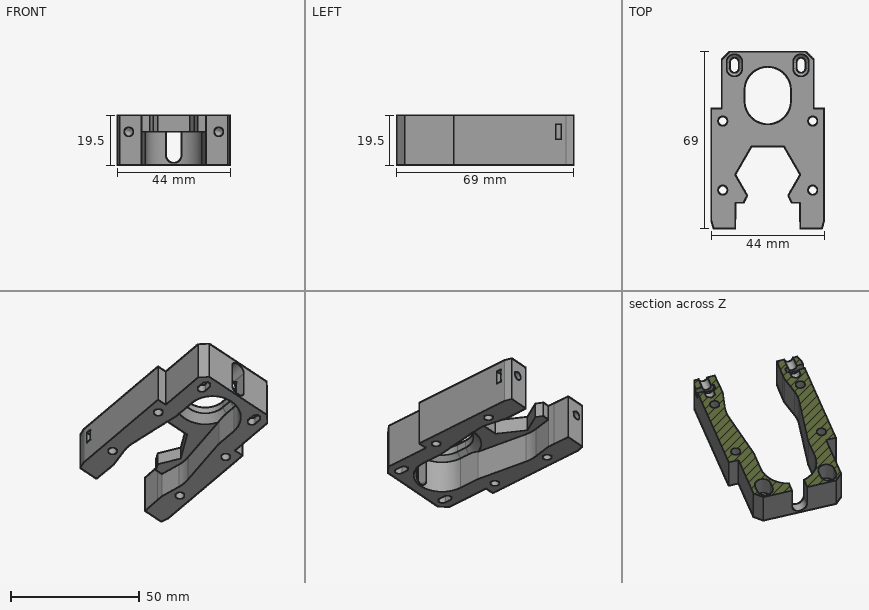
import cadquery as cq
import math

LENGTH = 69.0
FRONT_WIDTH = 44.0
HEIGHT = 19.5
REAR_WIDTH = 36.0
SHOULDER_Y = 46.85
REAR_CHAMFER = 3.1
FRONT_TAPER_X = 0.9
FRONT_TAPER_Y = 3.05

CEILING_Z = 13.05
CAVITY_RADIUS = 14.5
CAVITY_BEND_Y = 45.2
CAVITY_MARGIN = 2.0

MOUTH_HALF_WIDTH = 12.6
WAIST_HALF_WIDTH = 12.5
WAIST_Y = 7.45
MOUTH_END_Y = 10.1

HEX_RADIUS = 12.6
HEX_Y = 21.05
LIP_HALF_WIDTH = 7.95
NOTCH_HALF_WIDTH = 9.4

WINDOW_WIDTH = 18.0
WINDOW_LENGTH = 22.3
WINDOW_Y = 51.9
WINDOW_CHAMFER = 3.05

REAR_SLOT_WIDTH = 6.0
REAR_SLOT_HEIGHT = 17.6

CORNER_X = 13.0
CORNER_Y = 63.7
CORNER_STRAIGHT = 2.5
CORNER_HEAD_WIDTH = 6.15
CORNER_SCREW_WIDTH = 3.3
CORNER_FLOOR = 4.0

SCREW_X = 17.5
SCREW_DIAMETER = 3.5
SCREW_YS = (15.05, 41.95)
SCREW_Z = CEILING_Z
BLIND_DEPTH = 10.0
DRILL_TIP_ANGLE = 118.0
NUT_Y = 5.9
NUT_THICKNESS = 2.1
NUT_WIDTH = 5.8


def mirrored(right_side):
    """Close a front-to-back right-hand outline with its mirror image."""
    return right_side + [(-x, y) for x, y in reversed(right_side)]


def prism(points, bottom, top):
    return cq.Workplane("XY", origin=(0, 0, bottom)).polyline(points).close().extrude(top - bottom)


def slot_prism(x, y, length, width, bottom, top):
    """Vertical round-ended slot, elongated along Y."""
    return cq.Workplane("XY", origin=(x, y, bottom)).slot2D(length, width, 90).extrude(top - bottom)


def block():
    half_front = FRONT_WIDTH / 2
    half_rear = REAR_WIDTH / 2
    right_side = [
        (half_front - FRONT_TAPER_X, 0),
        (half_front, FRONT_TAPER_Y),
        (half_front, SHOULDER_Y),
        (half_rear, SHOULDER_Y),
        (half_rear, LENGTH - REAR_CHAMFER),
        (half_rear - REAR_CHAMFER, LENGTH),
    ]
    return prism(mirrored(right_side), 0, HEIGHT)


def mouth():
    right_side = [
        (MOUTH_HALF_WIDTH, 0),
        (WAIST_HALF_WIDTH, WAIST_Y),
        (WAIST_HALF_WIDTH, MOUTH_END_Y),
    ]
    return prism(mirrored(right_side), 0, HEIGHT)


def hexagon_opening():
    apothem = HEX_RADIUS * math.cos(math.radians(30))
    lip_y = HEX_Y - (HEX_RADIUS - LIP_HALF_WIDTH) * math.tan(math.radians(60))
    right_side = [
        (NOTCH_HALF_WIDTH, MOUTH_END_Y),
        (LIP_HALF_WIDTH, lip_y),
        (HEX_RADIUS, HEX_Y),
        (HEX_RADIUS / 2, HEX_Y + apothem),
    ]
    return prism(mirrored(right_side), 0, HEIGHT)


def tangent_point(x, y, radius, side):
    """Point where a line from (x, y) touches a circle on the origin; side is +1 or -1."""
    angle = math.atan2(y, x) + side * math.acos(radius / math.hypot(x, y))
    return (radius * math.cos(angle), radius * math.sin(angle))


def opposite(point):
    return (-point[0], point[1])


def cavity(height):
    """Pocket rising from the bottom face.

    From the mouth its walls flare out tangent to a circle around the hexagon, run back
    tangent to a narrower bend, then follow the window outline at a constant margin.
    """
    rear_radius = WINDOW_WIDTH / 2 + CAVITY_MARGIN
    rear_y = WINDOW_Y + (WINDOW_LENGTH - WINDOW_WIDTH) / 2
    waist = (WAIST_HALF_WIDTH, MOUTH_END_Y)
    flare_x, flare_y = tangent_point(WAIST_HALF_WIDTH, MOUTH_END_Y - HEX_Y, CAVITY_RADIUS, 1)
    flare_end = (flare_x, HEX_Y + flare_y)
    wall_x, wall_y = tangent_point(rear_radius, CAVITY_BEND_Y - HEX_Y, CAVITY_RADIUS, -1)
    wall_start = (wall_x, HEX_Y + wall_y)
    bend = (rear_radius, CAVITY_BEND_Y)
    rear = (rear_radius, rear_y)
    widest = (CAVITY_RADIUS, HEX_Y)
    return (
        cq.Workplane("XY")
        .moveTo(*waist)
        .lineTo(*flare_end)
        .threePointArc(widest, wall_start)
        .lineTo(*bend)
        .lineTo(*rear)
        .threePointArc((0, rear_y + rear_radius), opposite(rear))
        .lineTo(*opposite(bend))
        .lineTo(*opposite(wall_start))
        .threePointArc(opposite(widest), opposite(flare_end))
        .lineTo(*opposite(waist))
        .close()
        .extrude(height)
    )


def window():
    return slot_prism(0, WINDOW_Y, WINDOW_LENGTH, WINDOW_WIDTH, 0, HEIGHT)


def window_chamfer():
    """45 degree flare under the window, kept within the cavity walls."""
    growth = 2 * WINDOW_CHAMFER
    flare = (
        cq.Workplane("XY", origin=(0, WINDOW_Y, CEILING_Z))
        .slot2D(WINDOW_LENGTH + growth, WINDOW_WIDTH + growth, 90)
        .extrude(WINDOW_CHAMFER, taper=45)
    )
    return flare.intersect(cavity(HEIGHT))


def rear_slot():
    return (
        cq.Workplane("XZ", origin=(0, LENGTH, HEIGHT / 2))
        .slot2D(REAR_SLOT_HEIGHT, REAR_SLOT_WIDTH, 90)
        .extrude(LENGTH - WINDOW_Y)
    )


def corner_slot(x):
    """Screw slot with a deep head pocket that ends in a 45 degree seat."""
    seat_height = (CORNER_HEAD_WIDTH - CORNER_SCREW_WIDTH) / 2
    seat_top = CORNER_FLOOR + seat_height
    head_length = CORNER_STRAIGHT + CORNER_HEAD_WIDTH
    screw_length = CORNER_STRAIGHT + CORNER_SCREW_WIDTH
    head = slot_prism(x, CORNER_Y, head_length, CORNER_HEAD_WIDTH, seat_top, HEIGHT)
    screw = slot_prism(x, CORNER_Y, screw_length, CORNER_SCREW_WIDTH, 0, HEIGHT)
    seat = (
        cq.Workplane("XY", origin=(x, CORNER_Y, seat_top))
        .slot2D(head_length, CORNER_HEAD_WIDTH, 90)
        .extrude(-seat_height, taper=45)
    )
    return head.union(seat).union(screw)


def vertical_screw_holes():
    centers = [(side * SCREW_X, y) for side in (-1, 1) for y in SCREW_YS]
    return cq.Workplane("XY").pushPoints(centers).circle(SCREW_DIAMETER / 2).extrude(HEIGHT)


def front_screw_hole(side):
    """Blind hole along Y with a conical drill tip."""
    radius = SCREW_DIAMETER / 2
    tip = radius / math.tan(math.radians(DRILL_TIP_ANGLE / 2))
    return (
        cq.Workplane("XY", origin=(side * SCREW_X, 0, SCREW_Z))
        .polyline([(0, 0), (radius, 0), (radius, BLIND_DEPTH), (0, BLIND_DEPTH + tip)])
        .close()
        .revolve(360, (0, 0, 0), (0, 1, 0))
    )


def nut_trap(side):
    """Pocket from the outer face of a leg to just past the front screw hole."""
    inner = SCREW_X - NUT_WIDTH / 2
    depth = FRONT_WIDTH / 2 - inner
    center = (side * (inner + depth / 2), NUT_Y, SCREW_Z)
    return cq.Workplane("XY").box(depth, NUT_THICKNESS, NUT_WIDTH).translate(center)


result = block().cut(mouth()).cut(hexagon_opening()).cut(cavity(CEILING_Z))
result = result.cut(window()).cut(window_chamfer())
result = result.cut(rear_slot()).cut(vertical_screw_holes())
for side in (-1, 1):
    result = result.cut(corner_slot(side * CORNER_X))
    result = result.cut(front_screw_hole(side)).cut(nut_trap(side))